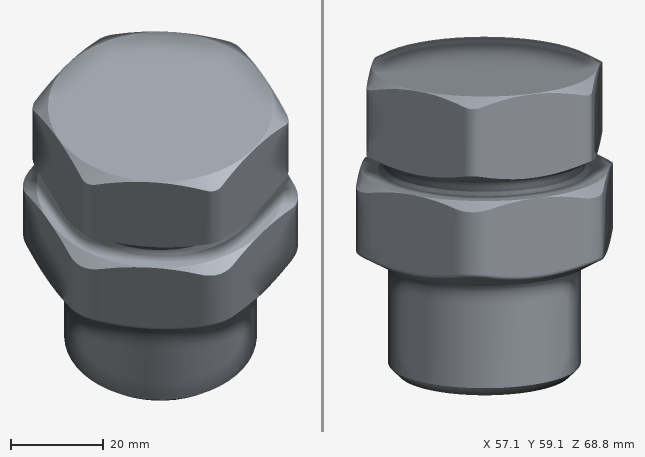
import cadquery as cq
import math

TOTAL_HEIGHT = 68.8
LOWER_HEX_BOTTOM = 25.85
LOWER_HEX_TOP = 45.95
UPPER_HEX_BOTTOM = 49.1

BARREL_RADIUS = 20.9
BARREL_CHAMFER = 2.2
NECK_RADIUS = 21.95
FLARE_WIDTH = 1.1
FLARE_HEIGHT = 0.75

LOWER_HEX_APOTHEM = 26.9
LOWER_HEX_CORNER_RADIUS = 7.6
UPPER_HEX_APOTHEM = 24.55
UPPER_HEX_CORNER_RADIUS = 3.6
HEX_HALF_ANGLE = 30.0
HEX_TURN = 10.0

BEVEL_ANGLE = 30.0
LOWER_HEX_TOP_FACE_RADIUS = 26.9
UPPER_HEX_TOP_FACE_RADIUS = 24.4
BOTTOM_FACE_RADIUS = 23.25
LOWER_HEX_EDGE_FILLET = 0.95


def rounded_hexagon(bottom, top, apothem, corner_radius):
    """Hexagonal prism with rounded vertical edges, turned about Z."""
    first_corner = HEX_TURN + HEX_HALF_ANGLE
    circumscribed_diameter = 2 * apothem / math.cos(math.radians(HEX_HALF_ANGLE))
    return (
        cq.Workplane("XY")
        .polygon(6, circumscribed_diameter)
        .extrude(top - bottom)
        .edges("|Z")
        .fillet(corner_radius)
        .rotate((0, 0, 0), (0, 0, 1), first_corner)
        .translate((0, 0, bottom))
    )


def double_cone(bottom, top, bottom_radius, top_radius):
    """Solid of revolution whose sloping ends bevel the hexagon corners."""
    slope = math.tan(math.radians(BEVEL_ANGLE))
    half_height = (top - bottom) / 2
    outer_radius = min(bottom_radius, top_radius) + half_height / slope
    return (
        cq.Workplane("XZ")
        .moveTo(0, bottom)
        .lineTo(bottom_radius, bottom)
        .lineTo(outer_radius, bottom + (outer_radius - bottom_radius) * slope)
        .lineTo(outer_radius, top - (outer_radius - top_radius) * slope)
        .lineTo(top_radius, top)
        .lineTo(0, top)
        .close()
        .revolve(360, (0, 0, 0), (0, 1, 0))
    )


def bevelled_hexagon(bottom, top, apothem, corner_radius, top_face_radius):
    prism = rounded_hexagon(bottom, top, apothem, corner_radius)
    return prism.intersect(double_cone(bottom, top, BOTTOM_FACE_RADIUS, top_face_radius))


def make_barrel():
    return (
        cq.Workplane("XY")
        .circle(BARREL_RADIUS)
        .extrude(LOWER_HEX_BOTTOM)
        .faces("<Z")
        .chamfer(BARREL_CHAMFER)
    )


def make_lower_hexagon():
    body = bevelled_hexagon(
        LOWER_HEX_BOTTOM,
        LOWER_HEX_TOP,
        LOWER_HEX_APOTHEM,
        LOWER_HEX_CORNER_RADIUS,
        LOWER_HEX_TOP_FACE_RADIUS,
    )
    return body.faces("%CONE").faces("<Z").edges("not %CIRCLE").fillet(LOWER_HEX_EDGE_FILLET)


def make_neck():
    return (
        cq.Workplane("XZ")
        .moveTo(0, LOWER_HEX_TOP)
        .lineTo(NECK_RADIUS + FLARE_WIDTH, LOWER_HEX_TOP)
        .lineTo(NECK_RADIUS, LOWER_HEX_TOP + FLARE_HEIGHT)
        .lineTo(NECK_RADIUS, UPPER_HEX_BOTTOM)
        .lineTo(0, UPPER_HEX_BOTTOM)
        .close()
        .revolve(360, (0, 0, 0), (0, 1, 0))
    )


def make_upper_hexagon():
    return bevelled_hexagon(
        UPPER_HEX_BOTTOM,
        TOTAL_HEIGHT,
        UPPER_HEX_APOTHEM,
        UPPER_HEX_CORNER_RADIUS,
        UPPER_HEX_TOP_FACE_RADIUS,
    )


result = make_barrel().union(make_lower_hexagon()).union(make_neck()).union(make_upper_hexagon())